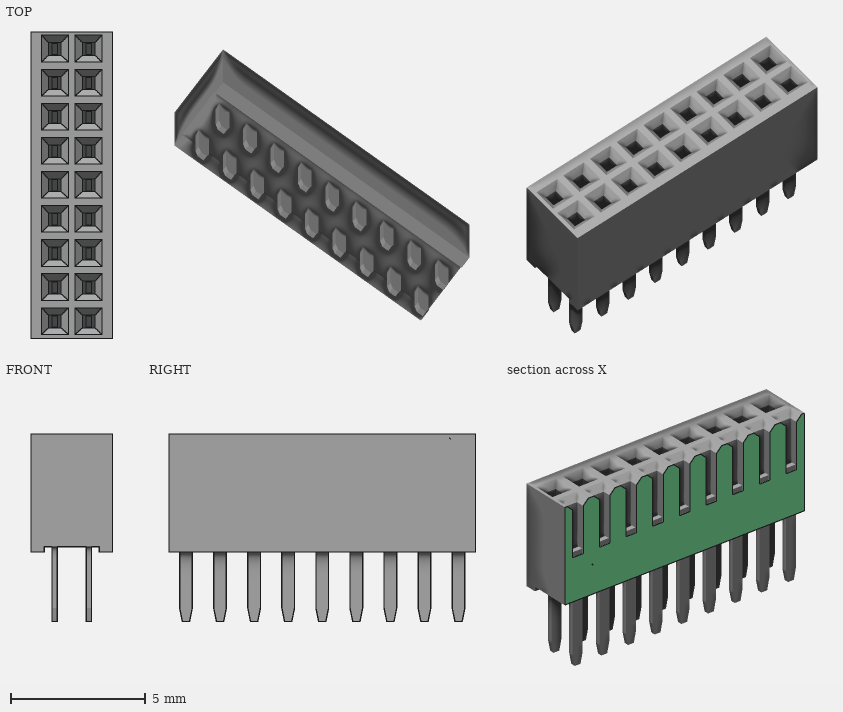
import cadquery as cq

rows = 9
columns = 2
length = 11.43
pitch = length / rows

width = 3.05
total_height = 7.0
housing_height = 4.4
foot_height = 0.2
foot_width = 0.5

mouth_size = 1.0
mouth_spacing = 1.25
mouth_shift = 0.017
funnel_depth = 0.25
hole_size = 0.48
socket_depth = 2.29

pin_thickness = 0.21
pin_width = 0.48
tip_width = 0.27
taper_height = 0.5
stub_width = 0.42
stub_height = 0.21

housing_bottom = total_height - housing_height
recess_top = housing_bottom + foot_height
socket_floor = total_height - socket_depth


def centred_places(count, spacing):
    """Coordinates of evenly spaced items, symmetric about zero."""
    return [(i - (count - 1) / 2) * spacing for i in range(count)]


def block(size_x, size_y, bottom, top):
    """Box centred on the Z axis between two heights."""
    box = cq.Workplane("XY").box(size_x, size_y, top - bottom, centered=(True, True, False))
    return box.translate((0, 0, bottom))


def make_housing():
    """Block with a recess along its underside that leaves a foot on each long side."""
    body = block(width, length, housing_bottom, total_height)
    return body.cut(block(width - 2 * foot_width, length, housing_bottom, recess_top))


def make_funnel(mouth_x, mouth_y, hole_x, hole_y):
    """Tapered lead-in from the mouth on the top face to the hole below."""
    return (
        cq.Workplane("XY", origin=(0, 0, total_height))
        .center(mouth_x, mouth_y)
        .rect(mouth_size, mouth_size)
        .workplane(offset=-funnel_depth)
        .center(hole_x - mouth_x, hole_y - mouth_y)
        .rect(hole_size, hole_size)
        .loft(ruled=True)
    )


def make_pin():
    """Flat contact tail with a tapered tip, reaching up to the recess."""
    outline = [
        (-tip_width / 2, 0),
        (tip_width / 2, 0),
        (pin_width / 2, taper_height),
        (pin_width / 2, recess_top),
        (-pin_width / 2, recess_top),
        (-pin_width / 2, taper_height),
    ]
    return cq.Workplane("YZ").polyline(outline).close().extrude(pin_thickness / 2, both=True)


hole = block(hole_size, hole_size, socket_floor, total_height - funnel_depth)
stub = block(pin_thickness, stub_width, socket_floor, socket_floor + stub_height)
pin = make_pin()

result = make_housing()
for x, mouth_x in zip(centred_places(columns, pitch), centred_places(columns, mouth_spacing)):
    for y in centred_places(rows, pitch):
        place = (x, y, 0)
        result = result.cut(make_funnel(mouth_x, y + mouth_shift, x, y))
        result = result.cut(hole.translate(place))
        result = result.union(stub.translate(place))
        result = result.union(pin.translate(place))